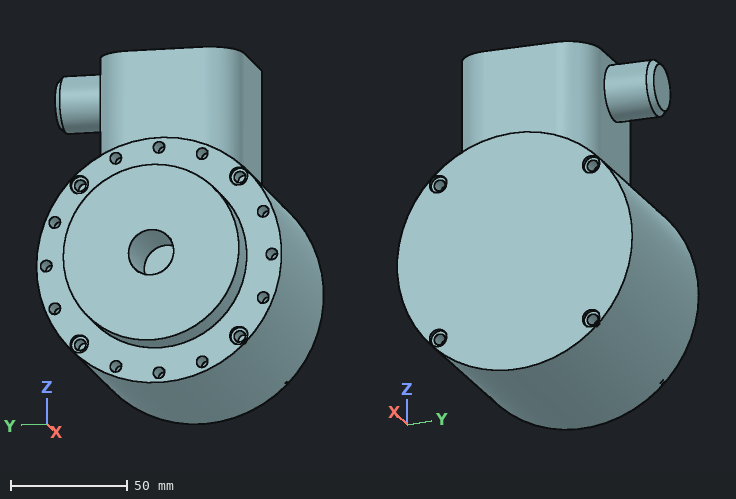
import cadquery as cq
import math

drum_diameter = 108.5
drum_length = 80.5

spigot_diameter = 77.7
spigot_length = 15.0
bore_diameter = 20.0
bore_depth = 30.0

total_height = 150.2
housing_side = 63.1
housing_corner_radius = 15.0
housing_center_x = 42.4
housing_top = total_height - drum_diameter / 2

connector_diameter = 25.0
connector_length = 22.0
connector_drop = 15.0
connector_chamfer_length = 2.5
connector_chamfer_inset = 2.3

bolt_circle_radius = 49.9
bolt_positions = 16
hole_diameter = 5.0
hole_depth = 10.0
drill_point_angle = 118.0
counterbore_diameter = 7.8
counterbore_depth = 2.0


def x_cylinder(diameter, x_start, length):
    """Cylinder around the X axis."""
    return cq.Workplane("YZ", origin=(x_start, 0, 0)).circle(diameter / 2).extrude(length)


def make_housing():
    """Tower from the drum axis up to the housing top."""
    return (
        cq.Workplane("XY", origin=(housing_center_x, 0, 0))
        .rect(housing_side, housing_side)
        .extrude(housing_top)
        .edges("|Z")
        .fillet(housing_corner_radius)
    )


def make_connector():
    """Stub along +Y with a chamfered end, rooted on the housing's mid-plane."""
    end_y = housing_side / 2 + connector_length
    radius = connector_diameter / 2
    return (
        cq.Workplane("XY")
        .polyline([
            (0, 0),
            (radius, 0),
            (radius, end_y - connector_chamfer_length),
            (radius - connector_chamfer_inset, end_y),
            (0, end_y),
        ])
        .close()
        .revolve(360, (0, 0, 0), (0, 1, 0))
        .translate((housing_center_x, 0, housing_top - connector_drop))
    )


def make_drilled_hole():
    """Blind hole from X = 0 into +X, ending in a drill point."""
    radius = hole_diameter / 2
    point_length = radius / math.tan(math.radians(drill_point_angle / 2))
    return (
        cq.Workplane("XY")
        .polyline([(0, 0), (0, radius), (hole_depth, radius), (hole_depth + point_length, 0)])
        .close()
        .revolve(360, (0, 0, 0), (1, 0, 0))
    )


def make_counterbored_hole():
    """Flat-bottomed blind hole from X = 0 into +X, with a shallow counterbore."""
    counterbore = x_cylinder(counterbore_diameter, 0, counterbore_depth)
    return counterbore.union(x_cylinder(hole_diameter, 0, hole_depth))


def on_bolt_circle(cutter, position):
    """Move a cutter to one of the equally spaced places on the bolt circle."""
    angle = 360 * position / bolt_positions
    return cutter.translate((0, bolt_circle_radius, 0)).rotate((0, 0, 0), (1, 0, 0), angle)


body = (
    x_cylinder(drum_diameter, 0, drum_length)
    .union(x_cylinder(spigot_diameter, -spigot_length, spigot_length))
    .union(make_housing())
    .union(make_connector())
    .cut(x_cylinder(bore_diameter, -spigot_length, bore_depth))
)

quarter_turn = bolt_positions // 4
for position in range(bolt_positions):
    if position % quarter_turn == quarter_turn // 2:
        front_hole = on_bolt_circle(make_counterbored_hole(), position)
        rear_hole = front_hole.mirror("YZ").translate((drum_length, 0, 0))
        body = body.cut(front_hole).cut(rear_hole)
    else:
        body = body.cut(on_bolt_circle(make_drilled_hole(), position))

result = body